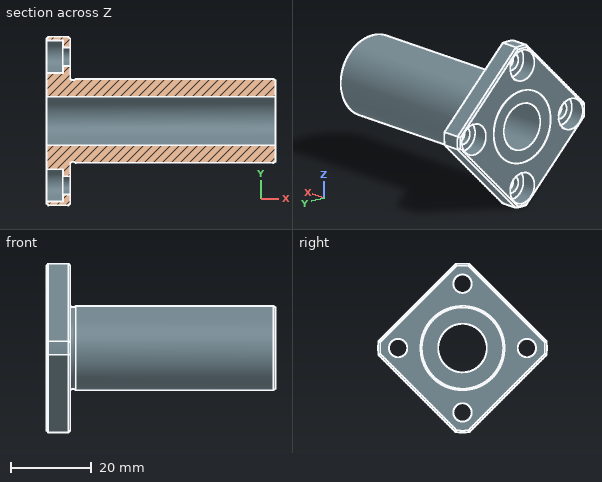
import cadquery as cq

total_length = 57.0
flange_thickness = 6.0
flange_chamfer = 0.5

flange_width = 32.0
flange_turn = 45
flange_corner_diameter = 42.0

sleeve_diameter = 21.0
bore_diameter = 12.0
sleeve_end_chamfer_length = 0.55
sleeve_end_chamfer_depth = 0.4

recess_diameter = 18.8
recess_depth = 0.1

groove_width = 1.3
groove_depth = 0.3

hole_count = 4
hole_circle_diameter = flange_width
hole_diameter = 4.5
counterbore_diameter = 8.0
counterbore_depth = 4.1


def cylinder(start_x, length, diameter):
    """Solid cylinder on the X axis."""
    return cq.Workplane("YZ", origin=(start_x, 0, 0)).circle(diameter / 2).extrude(length)


def make_flange():
    """Square plate on its corner, with rounded corner tips and chamfered front and back rims."""
    square = (
        cq.Workplane("YZ")
        .rect(flange_width, flange_width)
        .extrude(flange_thickness)
        .rotate((0, 0, 0), (1, 0, 0), flange_turn)
    )
    flange = square.intersect(cylinder(0, flange_thickness, flange_corner_diameter))
    return flange.faces("<X or >X").chamfer(flange_chamfer)


def make_sleeve():
    """Revolved sleeve, not yet bored, with the relief groove and a chamfered free end."""
    radius = sleeve_diameter / 2
    groove_end = flange_thickness + groove_width
    return (
        cq.Workplane("XY")
        .moveTo(flange_thickness, 0)
        .lineTo(flange_thickness, radius)
        .threePointArc(
            (flange_thickness + groove_width / 2, radius - groove_depth),
            (groove_end, radius),
        )
        .lineTo(total_length - sleeve_end_chamfer_length, radius)
        .lineTo(total_length, radius - sleeve_end_chamfer_depth)
        .lineTo(total_length, 0)
        .close()
        .revolve(360, (0, 0, 0), (1, 0, 0))
    )


def cut_mounting_holes(body):
    """Holes at the flange corners, counterbored from the outer (-X) face."""
    return (
        body.faces("<X")
        .workplane(origin=(0, 0, 0))
        .polarArray(hole_circle_diameter / 2, 0, 360, hole_count)
        .cboreHole(hole_diameter, counterbore_diameter, counterbore_depth, flange_thickness)
    )


flange = cut_mounting_holes(make_flange())
bore = cylinder(0, total_length, bore_diameter)
recess = cylinder(0, recess_depth, recess_diameter)
result = flange.union(make_sleeve()).cut(bore).cut(recess)